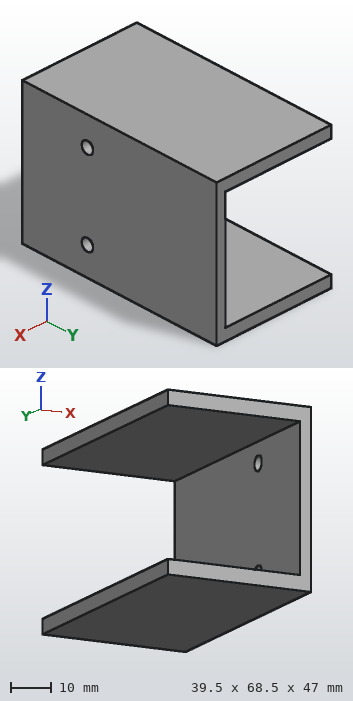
import cadquery as cq

width = 39.5
length = 68.5
height = 47.0

flange_thickness = 4.0
web_thickness = 3.0

hole_diameter = 4.0
hole_spacing = 27.95
hole_from_front = 22.95


def channel():
    """U-shaped channel, centred on the origin and open towards -X."""
    block = cq.Workplane("XY").box(width, length, height)
    opening = (
        cq.Workplane("XY")
        .box(width, length, height - 2 * flange_thickness)
        .translate((-web_thickness, 0, 0))
    )
    return block.cut(opening)


def web_holes():
    """Two cylinders along X, one above the other, that pierce the web."""
    hole_y = hole_from_front - length / 2
    return (
        cq.Workplane("YZ")
        .pushPoints([(hole_y, side * hole_spacing / 2) for side in (-1, 1)])
        .circle(hole_diameter / 2)
        .extrude(width)
    )


result = channel().cut(web_holes())